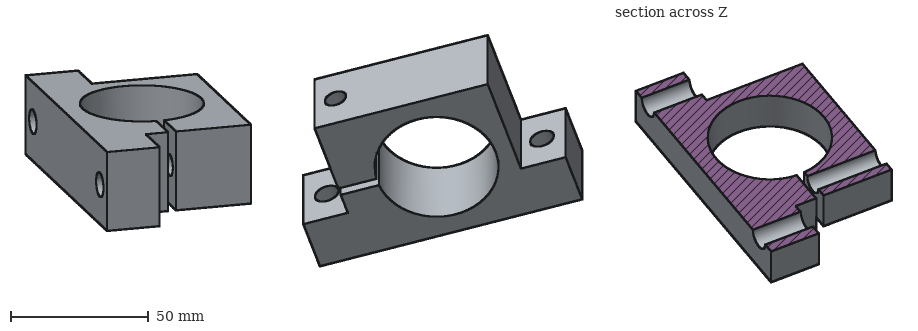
import cadquery as cq

base_length = 100.0
base_height = 20.0
total_height = 60.0
thickness = 30.0
body_width = 66.0

bore_diameter = 45.0
bore_offset_x = -4.0
bore_center_y = total_height / 2
slit_width = 3.0

mount_diameter = 9.0
mount_spacing = 82.0

screw_diameter = 8.0
screw_edge_distance = 8.0
screw_x = body_width / 2 - screw_edge_distance


def make_blank():
    """Base foot and clamp body, both starting at y = 0 and z = 0."""
    centered = (True, False, False)
    foot = cq.Workplane("XY").box(base_length, base_height, thickness, centered=centered)
    body = cq.Workplane("XY").box(body_width, total_height, thickness, centered=centered)
    return foot.union(body)


def make_bore():
    """Through bore along Z for the clamped shaft."""
    return (
        cq.Workplane("XY")
        .center(bore_offset_x, bore_center_y)
        .circle(bore_diameter / 2)
        .extrude(thickness)
    )


def make_slit():
    """Slit from the bore axis out through the +X side of the body."""
    slit_length = body_width / 2 - bore_offset_x
    return (
        cq.Workplane("XY")
        .box(slit_length, slit_width, thickness, centered=(False, True, False))
        .translate((bore_offset_x, bore_center_y, 0))
    )


def make_mount_hole(x):
    """Mounting hole along Y through the full height of the foot."""
    return (
        cq.Workplane("XZ")
        .center(x, thickness / 2)
        .circle(mount_diameter / 2)
        .extrude(-base_height)
    )


def make_screw_hole():
    """Clamp screw hole along Y from the top of the body down to the slit."""
    jaw_height = total_height - bore_center_y
    return (
        cq.Workplane("XZ", origin=(0, total_height, 0))
        .center(screw_x, thickness / 2)
        .circle(screw_diameter / 2)
        .extrude(jaw_height)
    )


result = make_blank().cut(make_bore()).cut(make_slit()).cut(make_screw_hole())
for side in (-1, 1):
    result = result.cut(make_mount_hole(side * mount_spacing / 2))